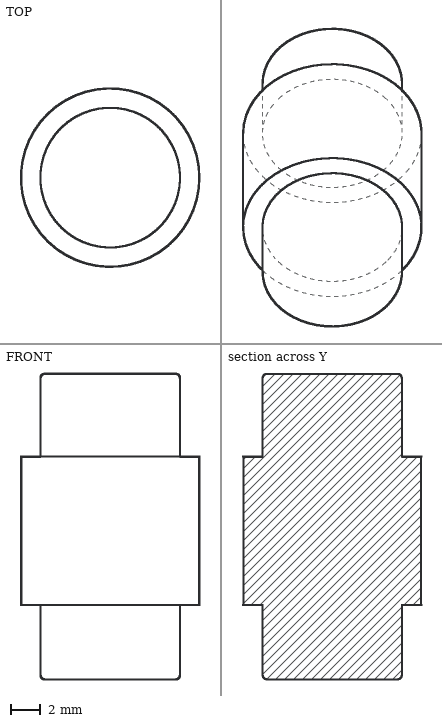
import cadquery as cq

total_length = 20.55
lower_length = 5.0
collar_length = 10.0

pin_diameter = 9.4
collar_diameter = 12.0

end_radius = 0.3

pin = (
    cq.Workplane("XY")
    .circle(pin_diameter / 2)
    .extrude(total_length)
    .faces("<Z or >Z")
    .edges()
    .fillet(end_radius)
)

collar = (
    cq.Workplane("XY")
    .workplane(offset=lower_length)
    .circle(collar_diameter / 2)
    .extrude(collar_length)
)

result = pin.union(collar)